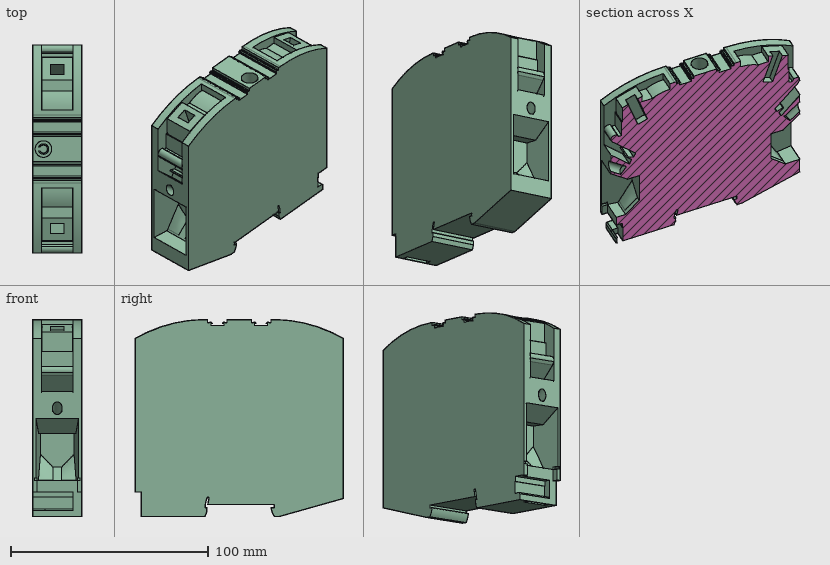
import cadquery as cq
import math

WIDTH = 25.0
LENGTH = 105.5
HEIGHT = 99.75
END_Y = LENGTH / 2
SHOULDER_Z = 90.2
FLAT_HALF = 17.25

TAIL_Z = 9.1
TAIL_FOOT_Y = 20.45
RAIL_Z = 6.0
HOOK_Z = 4.5
FOOT_Y = -49.7
FOOT_Z = 12.4

GROOVE_DEPTH = 3.0
STEP_DEPTH = 1.15
LATCH_DEPTH = 1.9

SCREW_X = -7.0
SCREW_RADIUS = 4.2
SCREW_DEPTH = 10.0
RING_OUTER = 2.65
RING_INNER = 2.0
RING_DEPTH = 0.5
RING_GAP = 2.2

POCKET_WIDTH = 16.2
POCKET_INNER_Y = -19.7
POCKET_SILL_Z = 63.2
SADDLE_Z = 95.9
SADDLE_RADIUS = 20.0
SADDLE_Y = -29.4
BUTTON_WIDTH = 15.3
BUTTON_BACK = (-35.0, 97.2)
BUTTON_FRONT = (-46.3, 93.4)
BUTTON_BOTTOM_Z = 83.5
LEVER_FACE_Y = -46.7
LEVER_GROOVE_Z = 74.3
ROLL_RADIUS = 2.35
ROLL_TOP_Z = 76.0
ROLL_HEEL_Y = -48.4
KEY_WIDTH = 6.7
KEY_LENGTH = 5.4
KEY_DEPTH = 17.0
KEY_POSITION = 0.53

TEST_DIAMETER = 5.0
TEST_Z = 54.85
TEST_ANGLE = 38.0
TEST_DEPTH = 9.0

FUNNEL_BACK_Y = -36.8
FUNNEL_FLOOR_Z = 18.2
FUNNEL_TOP_Z = 49.6
FUNNEL_BACK_TOP_Z = 42.0
FUNNEL_CEILING_Y = -43.2
FUNNEL_MOUTH_WIDTH = 21.5
FUNNEL_BACK_WIDTH = 17.0
RAMP_FOOT_Y = -44.5
RAMP_TOP_Z = 25.0
GUIDE_FOOT_Y = -43.75
GUIDE_TOP_Z = 31.5
GUIDE_GAP = 4.3

NOTCH_WIDTH = 20.5
NOTCH_WIDE = 23.1
NOTCH_WIDE_Z = 19.5
FOOT_POCKET_LENGTH = 20.4
FOOT_POCKET_BACK_Y = -45.9
FOOT_LIP_Y = -49.0
FOOT_LEDGE_Z = 3.8
FOOT_LEDGE_LENGTH = 6.3

OVERCUT = 1.0


def slab(outline, width):
    """Extrude a (Y, Z) outline symmetrically about X = 0."""
    return cq.Workplane("YZ").polyline(outline).close().extrude(width / 2, both=True)


def box(x_range, y_range, z_range):
    size = [high - low for low, high in (x_range, y_range, z_range)]
    corner = (x_range[0], y_range[0], z_range[0])
    return cq.Workplane("XY").box(*size, centered=False).translate(corner)


def mirrored(shape):
    """The same shape at the +Y end."""
    return shape.mirror("XZ")


def make_housing():
    run = END_Y - FLAT_HALF
    drop = HEIGHT - SHOULDER_Z
    radius = (run ** 2 + drop ** 2) / (2 * drop)
    half_angle = math.asin(run / radius) / 2
    mid_y = FLAT_HALF + radius * math.sin(half_angle)
    mid_z = HEIGHT - radius * (1 - math.cos(half_angle))
    hook_foot_y, hook_tip_y = 17.8, 16.1
    rail_end_y = 17.6
    slot_mouth_y, slot_back_y = -16.0, -17.2
    slot_end_inner = (-15.4, 9.2)
    slot_end_outer = (-16.2, 9.5)
    latch_tip_y, latch_foot_y = -16.4, -17.3
    latch_bevel_z = 2.4
    outline = (
        cq.Workplane("YZ")
        .moveTo(-FLAT_HALF, HEIGHT)
        .lineTo(FLAT_HALF, HEIGHT)
        .threePointArc((mid_y, mid_z), (END_Y, SHOULDER_Z))
        .lineTo(END_Y, TAIL_Z)
        .lineTo(TAIL_FOOT_Y, 0)
        .lineTo(hook_foot_y, 0)
        .threePointArc((16.7, 2.0), (hook_tip_y, HOOK_Z))
        .lineTo(rail_end_y, HOOK_Z)
        .lineTo(rail_end_y, RAIL_Z)
        .lineTo(slot_mouth_y, RAIL_Z)
        .lineTo(*slot_end_inner)
        .threePointArc((-15.6, 9.8), slot_end_outer)
        .threePointArc((-16.95, 7.1), (slot_back_y, HOOK_Z))
        .lineTo(latch_tip_y, HOOK_Z)
        .lineTo(latch_tip_y, latch_bevel_z)
        .lineTo(latch_foot_y, 0)
        .lineTo(FOOT_Y, 0)
        .lineTo(FOOT_Y, FOOT_Z)
        .lineTo(-END_Y, FOOT_Z)
        .lineTo(-END_Y, SHOULDER_Z)
        .threePointArc((-mid_y, mid_z), (-FLAT_HALF, HEIGHT))
        .close()
    )
    return outline.extrude(WIDTH / 2, both=True)


def make_label_groove():
    """Stepped groove with an undercut on both flanks, at the +Y side."""
    rim_in, rim_out = 6.3, 16.0
    floor_in, floor_out = 7.8, 14.3
    nose_in, nose_out = 8.6, 13.65
    channel_z = HEIGHT - 1.5
    channel_width = 0.8
    bank_width = 0.6
    channel_in = rim_in + channel_width
    channel_out = rim_out - channel_width
    step_z = HEIGHT - STEP_DEPTH
    latch_z = HEIGHT - LATCH_DEPTH
    floor_z = HEIGHT - GROOVE_DEPTH
    return slab(
        [
            (rim_in, HEIGHT + OVERCUT),
            (rim_in, channel_z),
            (channel_in, channel_z),
            (channel_in + bank_width, step_z),
            (floor_in, step_z),
            (nose_in, latch_z),
            (floor_in, latch_z),
            (floor_in, floor_z),
            (floor_out, floor_z),
            (floor_out, latch_z),
            (nose_out, latch_z),
            (channel_out - bank_width, step_z),
            (channel_out, channel_z),
            (rim_out, channel_z),
            (rim_out, HEIGHT + OVERCUT),
        ],
        WIDTH + OVERCUT,
    )


def make_screw_hole():
    floor_z = HEIGHT - SCREW_DEPTH
    hole = cq.Workplane("XY", origin=(SCREW_X, 0, floor_z)).circle(SCREW_RADIUS).extrude(SCREW_DEPTH)
    ring = (
        cq.Workplane("XY", origin=(SCREW_X, 0, floor_z - RING_DEPTH))
        .circle(RING_OUTER)
        .circle(RING_INNER)
        .extrude(RING_DEPTH)
    )
    gap = box(
        (SCREW_X - SCREW_RADIUS, SCREW_X),
        (-RING_GAP / 2, RING_GAP / 2),
        (floor_z - RING_DEPTH, floor_z),
    )
    return hole.union(ring.cut(gap))


def make_lever_pocket():
    """Cutter for the lever pocket at the -Y end, leaving lever and button standing."""
    outer_y = -END_Y - OVERCUT
    upper = slab(
        [
            (POCKET_INNER_Y, HEIGHT + OVERCUT),
            (POCKET_INNER_Y, BUTTON_BOTTOM_Z),
            (LEVER_FACE_Y, BUTTON_BOTTOM_Z),
            (LEVER_FACE_Y, LEVER_GROOVE_Z),
            (outer_y, LEVER_GROOVE_Z),
            (outer_y, HEIGHT + OVERCUT),
        ],
        POCKET_WIDTH,
    )
    lip_bottom = (-51.7, 71.4)
    cavity_top = (-38.9, 58.6)
    lower = slab(
        [
            (outer_y, LEVER_GROOVE_Z),
            (ROLL_HEEL_Y, LEVER_GROOVE_Z),
            lip_bottom,
            cavity_top,
            (-40.0, 56.6),
            (-43.1, 58.0),
            (-43.7, 57.5),
            (-41.2, 55.0),
            (-42.3, 52.6),
            (-END_Y, POCKET_SILL_Z),
            (outer_y, POCKET_SILL_Z),
        ],
        POCKET_WIDTH,
    )
    return upper.union(lower).cut(make_lever_lip(lip_bottom)).cut(make_button()).union(make_key_hole())


def make_button():
    """Button with a sloping top, and the curved floor behind it."""
    run = POCKET_INNER_Y - SADDLE_Y

    def saddle_point(distance):
        drop = SADDLE_RADIUS - math.sqrt(SADDLE_RADIUS ** 2 - distance ** 2)
        return POCKET_INNER_Y - distance, SADDLE_Z - drop

    floor_z = saddle_point(run)[1]
    return (
        cq.Workplane("YZ")
        .moveTo(BUTTON_FRONT[0], BUTTON_BOTTOM_Z)
        .lineTo(*BUTTON_FRONT)
        .lineTo(*BUTTON_BACK)
        .lineTo(BUTTON_BACK[0], floor_z)
        .lineTo(SADDLE_Y, floor_z)
        .threePointArc(saddle_point(run / 2), saddle_point(0))
        .lineTo(POCKET_INNER_Y, BUTTON_BOTTOM_Z)
        .close()
        .extrude(BUTTON_WIDTH / 2, both=True)
    )


def make_lever_lip(lip_bottom):
    """Rounded lip along the lower edge of the lever."""
    roll_y = -END_Y + ROLL_RADIUS
    roll_z = ROLL_TOP_Z - ROLL_RADIUS

    flank_degrees = 60
    crown_degrees = 135
    front_degrees = 195

    def roll_point(degrees):
        angle = math.radians(degrees)
        return roll_y + ROLL_RADIUS * math.cos(angle), roll_z + ROLL_RADIUS * math.sin(angle)

    return (
        cq.Workplane("YZ")
        .moveTo(*lip_bottom)
        .lineTo(ROLL_HEEL_Y, LEVER_GROOVE_Z)
        .lineTo(*roll_point(flank_degrees))
        .threePointArc(roll_point(crown_degrees), roll_point(front_degrees))
        .close()
        .extrude(POCKET_WIDTH / 2, both=True)
    )


def make_key_hole():
    """Rectangular hole square to the sloping top of the button."""
    rise = BUTTON_BACK[1] - BUTTON_FRONT[1]
    run = BUTTON_BACK[0] - BUTTON_FRONT[0]
    slope = math.degrees(math.atan2(rise, run))
    key_y = BUTTON_FRONT[0] + KEY_POSITION * run
    key_z = BUTTON_FRONT[1] + KEY_POSITION * rise
    key = cq.Workplane("XY").box(KEY_WIDTH, KEY_LENGTH, 2 * KEY_DEPTH)
    return key.rotate((0, 0, 0), (1, 0, 0), slope).translate((0, key_y, key_z))


def make_test_hole():
    hole = cq.Workplane("XY").cylinder(2 * TEST_DEPTH, TEST_DIAMETER / 2)
    return hole.rotate((0, 0, 0), (1, 0, 0), 90 - TEST_ANGLE).translate((0, -END_Y, TEST_Z))


def make_funnel():
    """Tapered wire entry with a ramp and two twisted guides at its back."""
    plan = [
        (-FUNNEL_MOUTH_WIDTH / 2, -END_Y),
        (FUNNEL_MOUTH_WIDTH / 2, -END_Y),
        (FUNNEL_BACK_WIDTH / 2, FUNNEL_BACK_Y),
        (-FUNNEL_BACK_WIDTH / 2, FUNNEL_BACK_Y),
    ]
    funnel = (
        cq.Workplane("XY", origin=(0, 0, FUNNEL_FLOOR_Z))
        .polyline(plan)
        .close()
        .extrude(FUNNEL_TOP_Z - FUNNEL_FLOOR_Z)
    )
    ceiling = slab(
        [
            (-END_Y, FUNNEL_TOP_Z),
            (FUNNEL_CEILING_Y, FUNNEL_BACK_TOP_Z),
            (FUNNEL_BACK_Y, FUNNEL_BACK_TOP_Z),
            (FUNNEL_BACK_Y, FUNNEL_TOP_Z),
        ],
        FUNNEL_MOUTH_WIDTH,
    )
    ramp = slab(
        [
            (RAMP_FOOT_Y, FUNNEL_FLOOR_Z),
            (FUNNEL_BACK_Y, FUNNEL_FLOOR_Z),
            (FUNNEL_BACK_Y, RAMP_TOP_Z),
        ],
        FUNNEL_MOUTH_WIDTH,
    )
    guide = make_guide()
    return funnel.cut(ceiling).cut(ramp).cut(guide).cut(guide.mirror("YZ"))


def make_guide():
    """Guide beside the ramp, growing taller from the gap towards the funnel wall."""
    ramp_slope = (RAMP_TOP_Z - FUNNEL_FLOOR_Z) / (FUNNEL_BACK_Y - RAMP_FOOT_Y)
    foot_z = FUNNEL_FLOOR_Z + ramp_slope * (GUIDE_FOOT_Y - RAMP_FOOT_Y)
    gap_x = GUIDE_GAP / 2
    wall_x = FUNNEL_BACK_WIDTH / 2
    outer_x = FUNNEL_MOUTH_WIDTH / 2
    rise_rate = (GUIDE_TOP_Z - RAMP_TOP_Z) / (wall_x - gap_x)
    outer_top_z = RAMP_TOP_Z + rise_rate * (outer_x - gap_x)

    def section(x, top_z):
        corners = [(GUIDE_FOOT_Y, foot_z), (FUNNEL_BACK_Y, top_z), (FUNNEL_BACK_Y, foot_z)]
        return cq.Wire.makePolygon([cq.Vector(x, y, z) for y, z in corners], close=True)

    sections = [section(gap_x, RAMP_TOP_Z), section(outer_x, outer_top_z)]
    return cq.Workplane(cq.Solid.makeLoft(sections, True))


def make_notch():
    """Set-back of the -Y end face below the funnel, wider at its top."""
    depth = (-END_Y, FOOT_Y)
    narrow = box((-NOTCH_WIDTH / 2, NOTCH_WIDTH / 2), depth, (FOOT_Z, FUNNEL_FLOOR_Z))
    wide = box((-NOTCH_WIDE / 2, NOTCH_WIDE / 2), depth, (FUNNEL_FLOOR_Z, NOTCH_WIDE_Z))
    return narrow.union(wide)


def make_foot_pocket():
    """Pocket in the foot, open at the front, at the -X side and partly through the bottom."""
    upper_back_y = -46.3
    back_step_z = 9.8
    lip_front_z = 3.0
    outline = [
        (FOOT_Y, FOOT_Z),
        (upper_back_y, FOOT_Z),
        (upper_back_y, back_step_z),
        (FOOT_POCKET_BACK_Y, back_step_z),
        (FOOT_POCKET_BACK_Y, FOOT_LEDGE_Z),
        (FOOT_LIP_Y, FOOT_LEDGE_Z),
        (FOOT_Y, lip_front_z),
    ]
    side_x = -WIDTH / 2
    pocket = cq.Workplane("YZ", origin=(side_x, 0, 0)).polyline(outline).close().extrude(FOOT_POCKET_LENGTH)
    opening = box(
        (side_x + FOOT_LEDGE_LENGTH, side_x + FOOT_POCKET_LENGTH),
        (FOOT_LIP_Y, FOOT_POCKET_BACK_Y),
        (0, FOOT_LEDGE_Z),
    )
    return pocket.union(opening)


result = make_housing()
for end_feature in (make_label_groove(), make_lever_pocket(), make_test_hole(), make_funnel()):
    result = result.cut(end_feature).cut(mirrored(end_feature))
for single_feature in (make_screw_hole(), make_notch(), make_foot_pocket()):
    result = result.cut(single_feature)